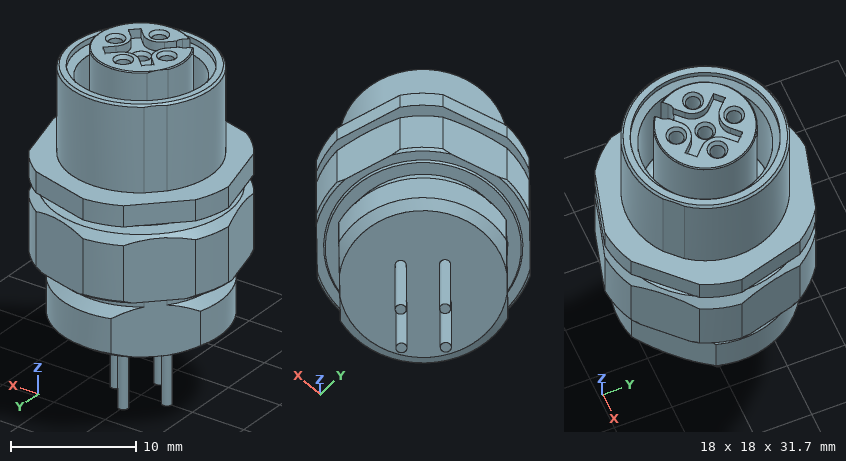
import cadquery as cq
import math

PIN_LENGTH = 7.13
BASE_LOWER_EDGE = 7.75
BASE_UPPER_EDGE = 10.9
BASE_TOP = 11.73
NUT_BOTTOM = 13.0
NUT_TOP = 19.15
FLANGE_BOTTOM = 20.2
FLANGE_TOP = 22.13
SHELL_TOP = 30.1
INSERT_TOP = 31.7

SHELL_RADIUS = 6.75
SHELL_CHAMFER = 0.2
BASE_RADIUS = 7.6
FLAT_DISTANCE = 6.7
FLAT_DIRECTION = -45
COLLAR_RADIUS = 6.85
COLLAR_HEIGHT = 0.2

HEX_ACROSS_FLATS = 17.02
HEX_CORNER_RADIUS = 9.0
HEX_ROTATION = 15

MOUTH_RADIUS = 6.0
MOUTH_DEPTH = 0.5
LEAD_IN_HEIGHT = 0.5
BORE_RADIUS = 5.4
CAVITY_DEPTH = 8.88
SEAL_RISE = 0.48

INSERT_RADIUS = 4.15
INSERT_CHAMFER = 0.1
INSERT_FLAT_DISTANCE = 4.05
INSERT_FLAT_DIRECTION = 144
KEYWAY_RADIUS = 0.73
KEYWAY_OFFSET = 3.5
KEYWAY_DIRECTION = 225
CROSS_LENGTH = 6.02
CROSS_WIDTH = 1.0
CROSS_DEPTH = 0.82
CROSS_CORNER_RADIUS = 1.45

CONTACT_CIRCLE_RADIUS = 2.5
CONTACT_HOLE_RADIUS = 0.6
CONTACT_MOUTH_RADIUS = 0.82
CONTACT_CONE_DEPTH = 0.32
CONTACT_HOLE_DEPTH = 6.35
PIN_RADIUS = 0.45

NUT_TOP_RADIUS = 8.25
NUT_TOP_CHAMFER_HEIGHT = 0.65
NUT_BOTTOM_CHAMFER = 0.22
NUT_WASHER_RADIUS = 7.95
NUT_WASHER_HEIGHT = 0.2
NUT_WASHER_TAPER = 0.13

CONTACT_POINTS = [
    (CONTACT_CIRCLE_RADIUS, 0),
    (0, CONTACT_CIRCLE_RADIUS),
    (-CONTACT_CIRCLE_RADIUS, 0),
    (0, -CONTACT_CIRCLE_RADIUS),
]


def cylinder(radius, bottom, top):
    return cq.Workplane("XY").workplane(offset=bottom).circle(radius).extrude(top - bottom)


def revolve_section(points):
    """Turn a closed outline of (radius, height) points about the Z axis."""
    return cq.Workplane("XZ").polyline(points).close().revolve(360, (0, 0, 0), (0, 1, 0))


def outside_flat(distance, direction, size, height):
    """Block that removes everything beyond a flat at the given distance from the axis."""
    block = cq.Workplane("XY").box(size, 2 * size, height, centered=(False, True, False))
    return block.translate((distance, 0, 0)).rotate((0, 0, 0), (0, 0, 1), direction)


def hexagon(bottom, top):
    """Hexagonal prism whose corners are rounded by a concentric cylinder."""
    corner_diameter = HEX_ACROSS_FLATS / math.cos(math.radians(30))
    prism = (
        cq.Workplane("XY")
        .workplane(offset=bottom)
        .polygon(6, corner_diameter)
        .extrude(top - bottom)
        .rotate((0, 0, 0), (0, 0, 1), HEX_ROTATION + 30)
    )
    return prism.intersect(cylinder(HEX_CORNER_RADIUS, bottom, top))


def make_shell():
    """Solid outer form of the housing, from the threaded base to the shell top."""
    shell = revolve_section([
        (0, PIN_LENGTH),
        (SHELL_RADIUS, PIN_LENGTH),
        (BASE_RADIUS, BASE_LOWER_EDGE),
        (BASE_RADIUS, BASE_UPPER_EDGE),
        (SHELL_RADIUS, BASE_TOP),
        (SHELL_RADIUS, SHELL_TOP - SHELL_CHAMFER),
        (SHELL_RADIUS - SHELL_CHAMFER, SHELL_TOP),
        (0, SHELL_TOP),
    ])
    shell = shell.union(cylinder(COLLAR_RADIUS, FLANGE_BOTTOM - COLLAR_HEIGHT, FLANGE_BOTTOM))
    for direction in (FLAT_DIRECTION, FLAT_DIRECTION + 180):
        shell = shell.cut(outside_flat(FLAT_DISTANCE, direction, BASE_RADIUS, SHELL_TOP))
    return shell.union(hexagon(FLANGE_BOTTOM, FLANGE_TOP))


def make_cavity():
    """Socket mouth down to the crowned seal ring, filled in to the axis."""
    seal_edge = SHELL_TOP - CAVITY_DEPTH
    bore_top = SHELL_TOP - MOUTH_DEPTH - LEAD_IN_HEIGHT
    seal_middle = (INSERT_RADIUS + BORE_RADIUS) / 2
    return (
        cq.Workplane("XZ")
        .moveTo(0, SHELL_TOP)
        .lineTo(MOUTH_RADIUS, SHELL_TOP)
        .lineTo(MOUTH_RADIUS, SHELL_TOP - MOUTH_DEPTH)
        .lineTo(BORE_RADIUS, bore_top)
        .lineTo(BORE_RADIUS, seal_edge)
        .threePointArc((seal_middle, seal_edge + SEAL_RISE), (INSERT_RADIUS, seal_edge))
        .lineTo(0, seal_edge)
        .close()
        .revolve(360, (0, 0, 0), (0, 1, 0))
    )


def make_cross_recess():
    """Diagonal cross in the insert face, its inner corners rounded around the contacts."""
    floor = INSERT_TOP - CROSS_DEPTH
    plane = cq.Workplane("XY").workplane(offset=floor)
    cross = plane.rect(CROSS_LENGTH, CROSS_WIDTH).extrude(CROSS_DEPTH)
    cross = cross.union(plane.rect(CROSS_WIDTH, CROSS_LENGTH).extrude(CROSS_DEPTH))
    inner_corners = cq.selectors.BoxSelector(
        (-CROSS_WIDTH, -CROSS_WIDTH, floor),
        (CROSS_WIDTH, CROSS_WIDTH, INSERT_TOP),
    )
    cross = cross.edges("|Z").edges(inner_corners).fillet(CROSS_CORNER_RADIUS)
    return cross.rotate((0, 0, 0), (0, 0, 1), 45)


def make_contact_hole(x, y, top):
    """Contact hole with a conical mouth opening at the given height."""
    hole = revolve_section([
        (0, top),
        (CONTACT_MOUTH_RADIUS, top),
        (CONTACT_HOLE_RADIUS, top - CONTACT_CONE_DEPTH),
        (CONTACT_HOLE_RADIUS, top - CONTACT_HOLE_DEPTH),
        (0, top - CONTACT_HOLE_DEPTH),
    ])
    return hole.translate((x, y, 0))


def make_keyway(bottom):
    """Round-ended slot running out through the side of the insert."""
    height = INSERT_TOP - bottom
    mouth = (
        cq.Workplane("XY")
        .box(INSERT_RADIUS, 2 * KEYWAY_RADIUS, height, centered=(False, True, False))
        .translate((0, 0, bottom))
    )
    keyway = cylinder(KEYWAY_RADIUS, bottom, INSERT_TOP).union(mouth)
    return keyway.translate((KEYWAY_OFFSET, 0, 0)).rotate((0, 0, 0), (0, 0, 1), KEYWAY_DIRECTION)


def make_insert():
    """Contact carrier standing in the cavity, with keyway, cross recess and holes."""
    bottom = SHELL_TOP - CAVITY_DEPTH
    insert = cylinder(INSERT_RADIUS, bottom, INSERT_TOP).faces(">Z").chamfer(INSERT_CHAMFER)
    insert = insert.cut(
        outside_flat(INSERT_FLAT_DISTANCE, INSERT_FLAT_DIRECTION, INSERT_RADIUS, INSERT_TOP)
    )
    insert = insert.cut(make_keyway(bottom)).cut(make_cross_recess())
    for x, y in CONTACT_POINTS:
        insert = insert.cut(make_contact_hole(x, y, INSERT_TOP))
    return insert.cut(make_contact_hole(0, 0, INSERT_TOP - CROSS_DEPTH))


def make_housing():
    """Connector housing with its flange, contact insert and solder pins."""
    housing = make_shell().cut(make_cavity()).union(make_insert())
    pins = cq.Workplane("XY").pushPoints(CONTACT_POINTS).circle(PIN_RADIUS).extrude(PIN_LENGTH)
    return housing.union(pins)


def make_nut():
    """Hexagonal locknut with a chamfered top and a washer face underneath."""
    hex_bottom = NUT_BOTTOM + NUT_WASHER_HEIGHT
    envelope = revolve_section([
        (0, hex_bottom),
        (HEX_CORNER_RADIUS - NUT_BOTTOM_CHAMFER, hex_bottom),
        (HEX_CORNER_RADIUS, hex_bottom + NUT_BOTTOM_CHAMFER),
        (HEX_CORNER_RADIUS, NUT_TOP - NUT_TOP_CHAMFER_HEIGHT),
        (NUT_TOP_RADIUS, NUT_TOP),
        (0, NUT_TOP),
    ])
    washer_face = revolve_section([
        (0, NUT_BOTTOM),
        (NUT_WASHER_RADIUS - NUT_WASHER_TAPER, NUT_BOTTOM),
        (NUT_WASHER_RADIUS, hex_bottom),
        (0, hex_bottom),
    ])
    nut = hexagon(hex_bottom, NUT_TOP).intersect(envelope).union(washer_face)
    return nut.cut(cylinder(SHELL_RADIUS, NUT_BOTTOM, NUT_TOP))


housing = make_housing()
nut = make_nut()

result = cq.Compound.makeCompound([housing.val(), nut.val()])